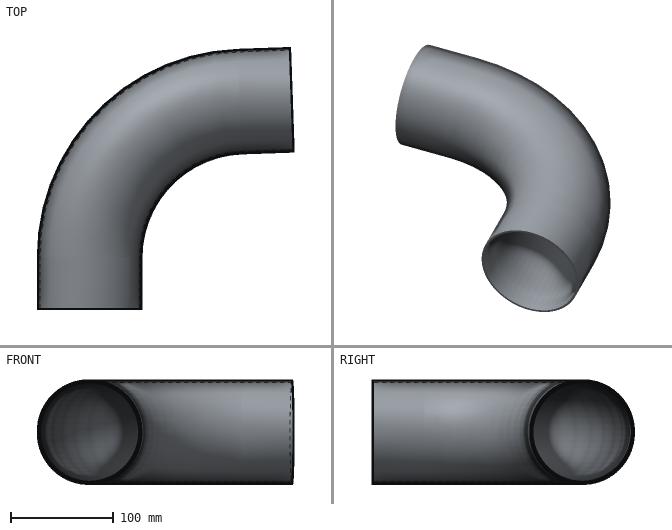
import cadquery as cq
import math

overall_length = 255.6
outer_diameter = 101.5
inner_diameter = 97.5
bend_radius = 152.4
bend_angle = 88.0

turn = math.radians(bend_angle)
bend_reach = (bend_radius + outer_diameter / 2) * math.sin(turn)
leg_length = (overall_length - bend_reach) / (1 + math.cos(turn))


def point_on_bend(angle):
    """Centre-line point after turning by angle (radians) from +Y towards +X."""
    return (bend_radius * (1 - math.cos(angle)), bend_radius * math.sin(angle))


bend_end = point_on_bend(turn)
outlet_end = (
    bend_end[0] + leg_length * math.sin(turn),
    bend_end[1] + leg_length * math.cos(turn),
)
centre_line = (
    cq.Workplane("XY")
    .moveTo(0, -leg_length)
    .lineTo(0, 0)
    .threePointArc(point_on_bend(turn / 2), bend_end)
    .lineTo(*outlet_end)
)

tube_section = (
    cq.Workplane("XZ", origin=(0, -leg_length, 0))
    .circle(outer_diameter / 2)
    .circle(inner_diameter / 2)
)
result = tube_section.sweep(centre_line)